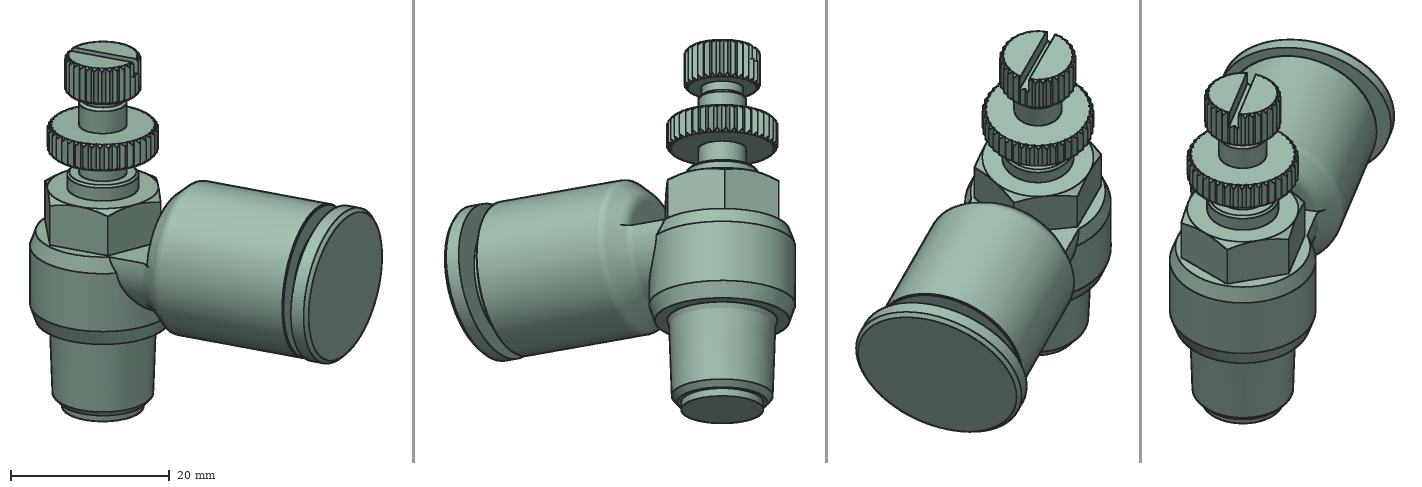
import cadquery as cq
import math


body_radius = 9.2
body_rim_radius = 8.5
body_bottom = 11.95
body_top = 23.9
body_lower_bevel = 2.05
body_upper_bevel = 1.95
tip_radius = 5.2
tip_height = 1.0
thread_lead_radius = 5.65
thread_start = 1.8
thread_bottom_radius = 6.4
thread_top_radius = 6.7
thread_collar_radius = 6.95
thread_collar_height = 0.7

hex_across_flats = 14.0
hex_top = 29.9
hex_bevel_angle = 30
collar_radius = 4.5
collar_top = 31.95
collar_bevel = 0.3

stem_radius = 3.0
stem_top = 41.9
neck_radius = 2.65
nut_radius = 7.0
nut_bottom = 34.9
nut_top = 38.5
nut_teeth = 40
head_radius = 4.8
head_bottom = 43.05
head_top = 48.0
head_teeth = 30
knurl_bevel = 0.45
slot_width = 1.2
slot_depth = 1.95

port_height = 22.45
port_radius = 9.9
port_start = 9.55
port_end = 29.9
port_cone_radius = 7.7
port_cone_end = 12.1
port_wall_round = 1.9
port_shoulder_round = 1.2
port_end_bevel = 0.15
arm_radius = 7.45
arm_blend_radius = 1.2
sleeve_radius = 7.1
flange_start = 31.65
flange_end = 33.9
flange_width = 22.5
flange_height = 19.6
flange_bevel = 0.5


def turned(points):
    """Revolve an outline of (radius, height) points about the Z axis."""
    return cq.Workplane("XZ").polyline(points).close().revolve(360, (0, 0), (0, 1))


def port_plane():
    """Plane along the port axis: local x is X, local y is the radius."""
    return cq.Workplane("XZ", origin=(0, 0, port_height))


def knurled_disc(radius, bottom, top, teeth):
    """Disc with right-angled teeth, a valley on the X axis and both rims bevelled."""
    half_pitch = math.pi / teeth
    root_radius = radius * (1 - half_pitch)
    outline = []
    for step in range(2 * teeth):
        angle = step * half_pitch
        reach = radius if step % 2 else root_radius
        outline.append((reach * math.cos(angle), reach * math.sin(angle)))
    star = cq.Workplane("XY", origin=(0, 0, bottom)).polyline(outline).close().extrude(top - bottom)
    bevelled = cq.Workplane("XY", origin=(0, 0, bottom)).circle(radius).extrude(top - bottom)
    return star.intersect(bevelled.edges().chamfer(knurl_bevel))


def valve_body():
    return turned([
        (0, 0),
        (tip_radius, 0),
        (tip_radius, tip_height),
        (thread_lead_radius, tip_height),
        (thread_bottom_radius, thread_start),
        (thread_top_radius, body_bottom - thread_collar_height),
        (thread_collar_radius, body_bottom),
        (body_rim_radius, body_bottom),
        (body_radius, body_bottom + body_lower_bevel),
        (body_radius, body_top - body_upper_bevel),
        (body_rim_radius, body_top),
        (0, body_top),
    ])


def hexagon():
    corner_radius = hex_across_flats / math.sqrt(3)
    flat_radius = hex_across_flats / 2
    bevel_drop = (corner_radius - flat_radius) * math.tan(math.radians(hex_bevel_angle))
    prism = (
        cq.Workplane("XY", origin=(0, 0, body_top))
        .polygon(6, 2 * corner_radius)
        .extrude(hex_top - body_top)
    )
    envelope = turned([
        (0, body_top),
        (corner_radius, body_top),
        (corner_radius, hex_top - bevel_drop),
        (flat_radius, hex_top),
        (0, hex_top),
    ])
    return prism.intersect(envelope)


def stem():
    stem_bevel = stem_radius - neck_radius
    return turned([
        (0, hex_top),
        (collar_radius, hex_top),
        (collar_radius, collar_top - collar_bevel),
        (collar_radius - collar_bevel, collar_top),
        (stem_radius, collar_top),
        (stem_radius, stem_top - stem_bevel),
        (neck_radius, stem_top),
        (neck_radius, head_bottom),
        (0, head_bottom),
    ])


def slotted_head():
    head = knurled_disc(head_radius, head_bottom, head_top, head_teeth)
    slot = cq.Workplane("XY", origin=(0, 0, head_top)).rect(2 * head_radius, slot_width).extrude(-slot_depth)
    return head.cut(slot)


def port_barrel():
    """Barrel with a conical shoulder, rounded where the cone meets the wall and the cylinder."""
    sharp_barrel = (
        port_plane()
        .polyline([
            (port_start, 0),
            (port_start, port_cone_radius),
            (port_cone_end, port_radius),
            (port_end - port_end_bevel, port_radius),
            (port_end, port_radius - port_end_bevel),
            (port_end, 0),
        ])
        .close()
        .revolve(360, (0, 0), (1, 0))
    )
    wall_rim = cq.NearestToPointSelector((port_start, 0, port_height))
    shoulder = cq.NearestToPointSelector((port_cone_end, 0, port_height))
    rounded_wall = sharp_barrel.edges("%CIRCLE").edges(wall_rim).fillet(port_wall_round)
    return rounded_wall.edges("%CIRCLE").edges(shoulder).fillet(port_shoulder_round)


def port_arm():
    """Round arm from the valve to the cone, blended into the cone and cut flat at the body top."""
    cone_slope = math.atan2(port_radius - port_cone_radius, port_cone_end - port_start)
    cone_foot = port_start - (port_cone_radius - arm_radius) / math.tan(cone_slope)
    blend_length = arm_blend_radius * math.tan(cone_slope / 2)

    def blend_point(angle):
        return (
            cone_foot - blend_length + arm_blend_radius * math.sin(angle),
            arm_radius + arm_blend_radius * (1 - math.cos(angle)),
        )

    inner_end = (port_start + port_cone_end) / 2
    inner_end_radius = (port_cone_radius + port_radius) / 2
    arm = (
        port_plane()
        .moveTo(0, 0)
        .lineTo(0, arm_radius)
        .lineTo(*blend_point(0))
        .threePointArc(blend_point(cone_slope / 2), blend_point(cone_slope))
        .lineTo(inner_end, inner_end_radius)
        .lineTo(inner_end, 0)
        .close()
        .revolve(360, (0, 0), (1, 0))
    )
    above_body = (
        cq.Workplane("XY", origin=(0, 0, body_top))
        .rect(2 * port_end, 4 * port_radius)
        .extrude(2 * port_radius)
    )
    return arm.cut(above_body)


def port_sleeve():
    """Release sleeve: a round neck ending in an oval flange with a bevelled outer rim."""
    neck = (
        cq.Workplane("YZ", origin=(port_end, 0, port_height))
        .circle(sleeve_radius)
        .extrude(flange_start - port_end)
    )
    flange = (
        cq.Workplane("YZ", origin=(flange_start, 0, port_height))
        .ellipse(flange_width / 2, flange_height / 2)
        .extrude(flange_end - flange_start)
        .faces(">X")
        .edges()
        .chamfer(flange_bevel)
    )
    return neck.union(flange)


result = (
    valve_body()
    .union(port_arm())
    .union(port_barrel())
    .union(port_sleeve())
    .union(hexagon())
    .union(stem())
    .union(knurled_disc(nut_radius, nut_bottom, nut_top, nut_teeth))
    .union(slotted_head())
)